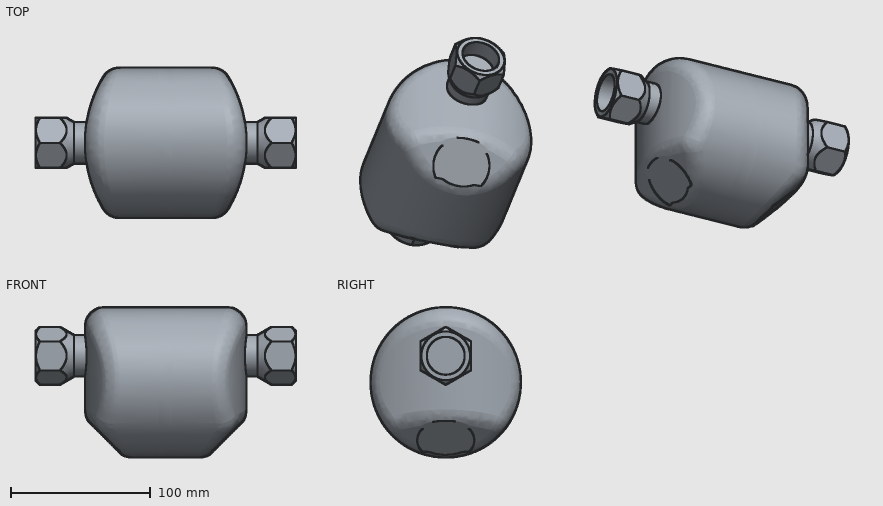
import cadquery as cq
import math

body_diameter = 108.0
body_half_length = 58.0
body_radius = body_diameter / 2
end_bow_radius = 92.0
rim_fillet = 14.0
knee_fillet = 15.0
band_width = 9.6

slope_angle = 45.0
slope_reach = 83.3
slope_bow_radius = 330.0
slope_crown = 0.4
pad_radius = 20.5
pad_chord_half = 11.7

fitting_height = 19.0
overall_length = 187.0
neck_diameter = 30.0
neck_end = 65.8
hex_across_flats = 36.0
nut_cone_angle = 30.0
nut_face_diameter = 35.0
bore_diameter = 27.2
bore_depth = 14.0
neck_root = 30.0

hex_sides = 6

pad_block_depth = 14.0

tilt = math.radians(slope_angle)
slope_distance = slope_reach * math.cos(tilt)


def slope_plane(distance):
    """Plane square to the slope, with local X along Y and its normal pointing out of the body."""
    outward = (math.cos(tilt), 0, -math.sin(tilt))
    origin = tuple(distance * component for component in outward)
    return cq.Plane(origin=origin, xDir=(0, 1, 0), normal=outward)


def slope_cylinder():
    """Very large cylinder lying along the slope, whose outer side forms the sloping face."""
    axis_distance = slope_distance + slope_crown - slope_bow_radius
    along = (math.sin(tilt), 0, math.cos(tilt))
    origin = (axis_distance * math.cos(tilt), 0, -axis_distance * math.sin(tilt))
    plane = cq.Plane(origin=origin, xDir=(0, 1, 0), normal=along)
    return cq.Workplane(plane).circle(slope_bow_radius).extrude(body_diameter * 2, both=True)


def half_drum():
    """The +X half of the drum, starting at the joint band."""
    drum = cq.Workplane("YZ").workplane(offset=band_width / 2).circle(body_radius).extrude(body_diameter)
    end_wall = (
        cq.Workplane("XY")
        .center(body_half_length - end_bow_radius, 0)
        .circle(end_bow_radius)
        .extrude(body_diameter, both=True)
    )
    blank = drum.intersect(end_wall).intersect(slope_cylinder())
    knee_edge = cq.selectors.NearestToPointSelector((body_half_length, 0, body_half_length - slope_reach))
    rounded_knee = blank.edges(knee_edge).fillet(knee_fillet)
    upper_rim = cq.selectors.NearestToPointSelector((body_half_length, 0, body_radius))
    return rounded_knee.edges(upper_rim).fillet(rim_fillet)


def with_flat_pad(half):
    """Flatten the crest of the sloping face and fill the sides of the flat out to the pad circle."""
    pad_plane = slope_plane(slope_distance)
    above = cq.Workplane(pad_plane).rect(body_diameter, body_diameter).extrude(pad_block_depth)
    pad = cq.Workplane(pad_plane).circle(pad_radius).extrude(-pad_block_depth)
    chord_slab = (
        cq.Workplane(pad_plane)
        .rect(body_diameter, 2 * pad_chord_half)
        .extrude(pad_block_depth, both=True)
    )
    return half.cut(above).union(pad.intersect(chord_slab))


def fitting():
    """Neck and hexagon nut on the +X end."""
    end = overall_length / 2
    corner_radius = hex_across_flats / math.sqrt(3)
    neck_radius = neck_diameter / 2
    face_radius = nut_face_diameter / 2
    cone_length = (corner_radius - neck_radius) / math.tan(math.radians(nut_cone_angle))
    turned = (
        cq.Workplane("XZ")
        .moveTo(neck_root, 0)
        .lineTo(neck_root, neck_radius)
        .lineTo(neck_end, neck_radius)
        .lineTo(neck_end + cone_length, corner_radius)
        .lineTo(end - (corner_radius - face_radius), corner_radius)
        .lineTo(end, face_radius)
        .lineTo(end, 0)
        .close()
        .revolve(360, (0, 0, 0), (1, 0, 0))
    )
    hexagon = (
        cq.Workplane("YZ")
        .workplane(offset=neck_root)
        .polygon(hex_sides, 2 * corner_radius)
        .extrude(end - neck_root)
        .rotate((0, 0, 0), (1, 0, 0), 90)
    )
    bore = cq.Workplane("YZ").workplane(offset=end - bore_depth).circle(bore_diameter / 2).extrude(bore_depth)
    return turned.intersect(hexagon).cut(bore).translate((0, 0, fitting_height))


right_half = with_flat_pad(half_drum()).union(fitting())
left_half = right_half.mirror("YZ")
band = cq.Workplane("YZ").workplane(offset=-band_width / 2).circle(body_radius).extrude(band_width)

result = band.union(right_half, clean=False).union(left_half, clean=False)